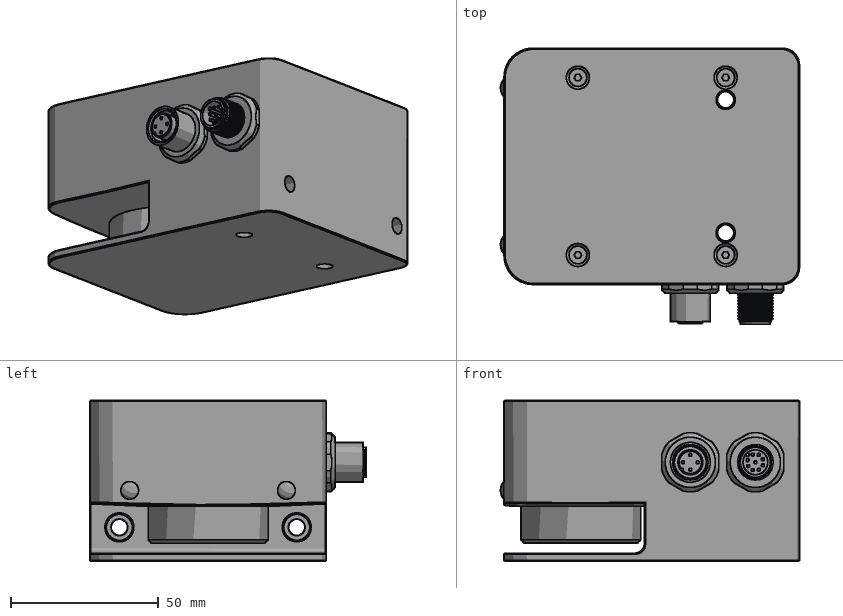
import cadquery as cq
import math

LENGTH = 100.0
WIDTH = 80.0
HEIGHT = 54.5
OPEN_END_RADIUS = 10.0
CLOSED_END_RADIUS = 6.0
EDGE_CHAMFER = 0.4
MID_HEIGHT = HEIGHT / 2

TOLERANCE = 0.01

FOOT_THICKNESS = 2.8
SLOT_DEPTH = 47.5
SLOT_FLOOR_RADIUS = 3.2
CEILING_SLOPE = math.tan(math.radians(2.5))

HEAD_DIAMETER = 40.6
HEAD_CENTER_X = 26.0
HEAD_BOTTOM_Z = 6.2
HEAD_CHAMFER = 1.1
CEILING_AT_HEAD_Z = 18.55

SCREW_POINTS = [(x, y) for x in (25.0, 75.0) for y in (-30.0, 30.0)]
SCREW_HEAD_DIAMETER = 6.0
SCREW_COUNTERSINK_DIAMETER = 7.8
SCREW_SOCKET_CORNER_DIAMETER = 2.5
SCREW_SOCKET_DEPTH = 1.0
TOP_HOLE_X = 75.0
TOP_HOLE_SPACING = 45.0
TOP_HOLE_DIAMETER = 5.5
TOP_HOLE_CHAMFER = 0.5

MOUNT_HOLE_SPACING = 60.0
MOUNT_HOLE_Z = 11.5
MOUNT_HOLE_DIAMETER = 5.5
MOUNT_BORE_DIAMETER = 8.8
MOUNT_BORE_DEPTH = 5.5
MOUNT_BORE_CHAMFER = 0.5

BUTTON_DIAMETER = 6.0
BUTTON_HEIGHT = 1.19
BUTTON_SPACING = 53.0
BUTTON_Z = 24.0

SOCKET_X = 63.05
PLUG_X = 85.05
CONNECTOR_Z = 33.5
NUT_ACROSS_FLATS = 19.2
NUT_DIAMETER = 20.0
NUT_FACE_DIAMETER = 17.0
NUT_THICKNESS = 3.0
BARREL_END = 12.5
PIN_CIRCLE_DIAMETER = 5.5
PIN_DIAMETER = 1.0

SOCKET_DIAMETER = 13.5
SOCKET_BORE_DIAMETER = 10.8
SOCKET_MOUTH_DIAMETER = 12.0
SOCKET_BORE_DEPTH = 6.0
INSERT_DIAMETER = 8.4
INSERT_END = 13.25
INSERT_CHAMFER = 0.4
CONTACT_DEPTH = 3.0
CONTACT_CIRCLE_DIAMETER = 5.0
CONTACT_ANGLES = [0, 90, 180, 270]
KEYWAY_CIRCLE_DIAMETER = 7.6
KEYWAY_ANGLE = 221.0

THREAD_DIAMETER = 12.0
THREAD_ROOT_DIAMETER = 10.8
THREAD_PITCH = 1.0
PLUG_TIP_DIAMETER = 10.2
PLUG_END = 13.5
PLUG_BORE_DIAMETER = 8.4
PLUG_BORE_DEPTH = 8.0
PIN_LENGTH = 6.0
RING_PIN_COUNT = 8
RING_PIN_START = 164.0
RING_PIN_STEP = 43.6
KEY_ANGLE = 136.0
KEY_WIDTH = 1.0
KEY_HEIGHT = 1.1


def cylinder(point, direction, diameter, length):
    solid = cq.Solid.makeCylinder(diameter / 2, length, cq.Vector(*point), cq.Vector(*direction))
    return cq.Workplane(obj=solid)


def cone(point, direction, start_diameter, end_diameter, length):
    solid = cq.Solid.makeCone(
        start_diameter / 2, end_diameter / 2, length, cq.Vector(*point), cq.Vector(*direction)
    )
    return cq.Workplane(obj=solid)


def make_block():
    block = cq.Workplane("XY").box(LENGTH, WIDTH, HEIGHT, centered=(False, True, False))
    block = block.edges("|Z and <X").fillet(OPEN_END_RADIUS)
    block = block.edges("|Z and >X").fillet(CLOSED_END_RADIUS)
    return block.faces("<Z or >Z").edges().chamfer(EDGE_CHAMFER)


def make_slot():
    """Slot through the open end, closed above by a shallow cone around the head axis."""
    slot = (
        cq.Workplane("XY")
        .box(2 * SLOT_DEPTH, 2 * WIDTH, MID_HEIGHT, centered=(True, True, False))
        .edges("|Y and >X and <Z")
        .fillet(SLOT_FLOOR_RADIUS)
        .translate((0, 0, FOOT_THICKNESS))
    )
    rim_radius = 2 * LENGTH
    apex_z = CEILING_AT_HEAD_Z - CEILING_SLOPE * HEAD_DIAMETER / 2
    below_ceiling = (
        cq.Workplane("XZ")
        .polyline([
            (0, 0),
            (rim_radius, 0),
            (rim_radius, apex_z + CEILING_SLOPE * rim_radius),
            (0, apex_z),
        ])
        .close()
        .revolve(360, (0, 0), (0, 1))
        .translate((HEAD_CENTER_X, 0, 0))
    )
    return slot.intersect(below_ceiling)


def slot_mouth_edges(body):
    """Edges where the slot breaks through the outer side walls."""
    edges = []
    for edge in body.edges().vals():
        box = edge.BoundingBox()
        in_slot_height = box.zmin > FOOT_THICKNESS - TOLERANCE and box.zmax < MID_HEIGHT
        on_side_wall = box.ylen < TOLERANCE and abs(abs(box.ymin) - WIDTH / 2) < TOLERANCE
        around_open_end = box.xmax < OPEN_END_RADIUS + TOLERANCE
        if in_slot_height and (on_side_wall or around_open_end):
            edges.append(edge)
    return edges


def make_head():
    """Head reaching up to the middle of the housing, so that it merges with the upper body."""
    length = MID_HEIGHT - HEAD_BOTTOM_Z
    head = cylinder((HEAD_CENTER_X, 0, HEAD_BOTTOM_Z), (0, 0, 1), HEAD_DIAMETER, length)
    return head.faces("<Z").chamfer(HEAD_CHAMFER)


def cut_top_screws(body):
    depth = (SCREW_COUNTERSINK_DIAMETER - SCREW_HEAD_DIAMETER) / 2
    for x, y in SCREW_POINTS:
        sink = cone((x, y, HEIGHT), (0, 0, -1), SCREW_COUNTERSINK_DIAMETER, SCREW_HEAD_DIAMETER, depth)
        socket = (
            cq.Workplane("XY", origin=(x, y, HEIGHT - depth))
            .polygon(6, SCREW_SOCKET_CORNER_DIAMETER)
            .extrude(-SCREW_SOCKET_DEPTH)
        )
        body = body.cut(sink).cut(socket)
    return body


def cut_top_holes(body):
    rim_diameter = TOP_HOLE_DIAMETER + 2 * TOP_HOLE_CHAMFER
    for side in (-1, 1):
        y = side * TOP_HOLE_SPACING / 2
        hole = cylinder((TOP_HOLE_X, y, 0), (0, 0, 1), TOP_HOLE_DIAMETER, HEIGHT)
        rim = cone((TOP_HOLE_X, y, HEIGHT), (0, 0, -1), rim_diameter, TOP_HOLE_DIAMETER, TOP_HOLE_CHAMFER)
        body = body.cut(hole).cut(rim)
    return body


def cut_mount_holes(body):
    along_x = (1, 0, 0)
    rim_diameter = MOUNT_BORE_DIAMETER + 2 * MOUNT_BORE_CHAMFER
    for side in (-1, 1):
        start = (SLOT_DEPTH, side * MOUNT_HOLE_SPACING / 2, MOUNT_HOLE_Z)
        hole = cylinder(start, along_x, MOUNT_HOLE_DIAMETER, LENGTH)
        bore = cylinder(start, along_x, MOUNT_BORE_DIAMETER, MOUNT_BORE_DEPTH)
        rim = cone(start, along_x, rim_diameter, MOUNT_BORE_DIAMETER, MOUNT_BORE_CHAMFER)
        body = body.cut(hole).cut(bore).cut(rim)
    return body


def add_buttons(body):
    radius = BUTTON_DIAMETER / 2
    sphere_radius = (radius**2 + BUTTON_HEIGHT**2) / (2 * BUTTON_HEIGHT)
    sphere_center_x = sphere_radius - BUTTON_HEIGHT
    half_angle = math.asin(radius / sphere_radius) / 2
    arc_middle = (
        sphere_center_x - sphere_radius * math.cos(half_angle),
        sphere_radius * math.sin(half_angle),
    )
    button = (
        cq.Workplane("XY")
        .moveTo(-BUTTON_HEIGHT, 0)
        .threePointArc(arc_middle, (0, radius))
        .lineTo(BUTTON_HEIGHT, radius)
        .lineTo(BUTTON_HEIGHT, 0)
        .close()
        .revolve(360, (0, 0), (1, 0))
    )
    for side in (-1, 1):
        body = body.union(button.translate((0, side * BUTTON_SPACING / 2, BUTTON_Z)))
    return body




def make_nut():
    corner_diameter = NUT_ACROSS_FLATS / math.cos(math.pi / 6)
    nut = cq.Workplane("XY").polygon(6, corner_diameter).extrude(NUT_THICKNESS)
    nut = nut.rotate((0, 0, 0), (0, 0, 1), 30)
    chamfer = (NUT_DIAMETER - NUT_FACE_DIAMETER) / 2
    envelope = cylinder((0, 0, 0), (0, 0, 1), NUT_DIAMETER, NUT_THICKNESS).faces(">Z").chamfer(chamfer)
    return nut.intersect(envelope)


def rods_on_circle(circle_diameter, angles, start, length):
    rods = cq.Workplane("XY")
    for angle in angles:
        x = circle_diameter / 2 * math.cos(math.radians(angle))
        y = circle_diameter / 2 * math.sin(math.radians(angle))
        rods = rods.add(cylinder((x, y, start), (0, 0, 1), PIN_DIAMETER, length))
    return rods.combine()


def make_socket():
    up = (0, 0, 1)
    bore_start = BARREL_END - SOCKET_BORE_DEPTH
    barrel = cylinder((0, 0, 0), up, SOCKET_DIAMETER, BARREL_END)
    bore = cylinder((0, 0, bore_start), up, SOCKET_BORE_DIAMETER, SOCKET_BORE_DEPTH)
    mouth_depth = (SOCKET_MOUTH_DIAMETER - SOCKET_BORE_DIAMETER) / 2
    mouth = cone((0, 0, BARREL_END), (0, 0, -1), SOCKET_MOUTH_DIAMETER, SOCKET_BORE_DIAMETER, mouth_depth)
    insert = cylinder((0, 0, 0), up, INSERT_DIAMETER, INSERT_END).faces(">Z").chamfer(INSERT_CHAMFER)
    contact_start = INSERT_END - CONTACT_DEPTH
    contacts = rods_on_circle(CONTACT_CIRCLE_DIAMETER, CONTACT_ANGLES, contact_start, CONTACT_DEPTH)
    keyway = rods_on_circle(KEYWAY_CIRCLE_DIAMETER, [KEYWAY_ANGLE], contact_start, CONTACT_DEPTH)
    shell = make_nut().union(barrel).cut(bore).cut(mouth)
    return shell.union(insert).cut(contacts).cut(keyway)


def make_plug():
    up = (0, 0, 1)
    crest_radius = THREAD_DIAMETER / 2
    root_radius = THREAD_ROOT_DIAMETER / 2
    outline = [(0, 0), (root_radius, 0), (root_radius, NUT_THICKNESS)]
    turns = int((BARREL_END - NUT_THICKNESS) / THREAD_PITCH)
    for turn in range(turns):
        turn_start = NUT_THICKNESS + turn * THREAD_PITCH
        outline.append((crest_radius, turn_start + THREAD_PITCH / 2))
        outline.append((root_radius, turn_start + THREAD_PITCH))
    outline.append((root_radius, BARREL_END))
    outline.append((0, BARREL_END))
    barrel = cq.Workplane("XZ").polyline(outline).close().revolve(360, (0, 0), (0, 1))
    tip = cylinder((0, 0, 0), up, PLUG_TIP_DIAMETER, PLUG_END)
    bore_start = PLUG_END - PLUG_BORE_DEPTH
    bore = cylinder((0, 0, bore_start), up, PLUG_BORE_DIAMETER, PLUG_BORE_DEPTH)
    ring_angles = [RING_PIN_START + RING_PIN_STEP * i for i in range(RING_PIN_COUNT)]
    ring_pins = rods_on_circle(PIN_CIRCLE_DIAMETER, ring_angles, bore_start, PIN_LENGTH)
    center_pin = cylinder((0, 0, bore_start), up, PIN_DIAMETER, PIN_LENGTH)
    key_outer_radius = (PLUG_BORE_DIAMETER + PLUG_TIP_DIAMETER) / 4
    key_inner_radius = PLUG_BORE_DIAMETER / 2 - KEY_HEIGHT
    key = (
        cq.Workplane("XY", origin=(key_inner_radius, 0, bore_start))
        .box(key_outer_radius - key_inner_radius, KEY_WIDTH, PIN_LENGTH, centered=(False, True, False))
        .rotate((0, 0, 0), (0, 0, 1), KEY_ANGLE)
    )
    shell = make_nut().union(barrel).union(tip).cut(bore)
    return shell.union(ring_pins).union(center_pin).union(key)


def add_connector(body, connector, x):
    turned = connector.rotate((0, 0, 0), (1, 0, 0), 90)
    return body.union(turned.translate((x, -WIDTH / 2, CONNECTOR_Z)))


housing = make_block().cut(make_slot())
housing = housing.newObject(slot_mouth_edges(housing)).chamfer(EDGE_CHAMFER)
housing = housing.union(make_head())
housing = cut_top_screws(housing)
housing = cut_top_holes(housing)
housing = cut_mount_holes(housing)
housing = add_buttons(housing)
housing = add_connector(housing, make_socket(), SOCKET_X)
result = add_connector(housing, make_plug(), PLUG_X)